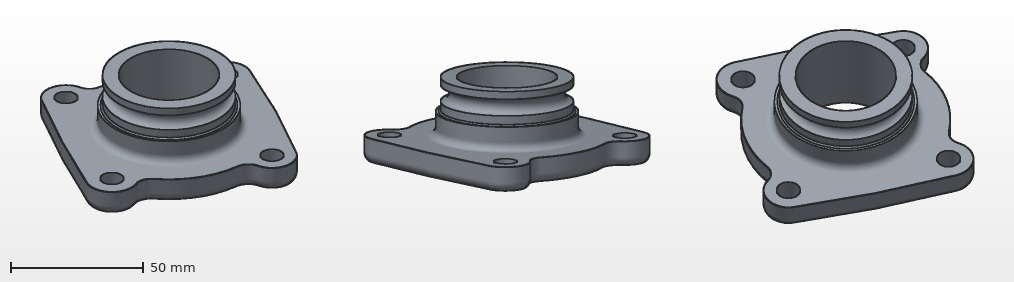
import cadquery as cq
import math

plate_thickness = 9.7
apex_reach = 42.1
side_radius = 39.6
waist_radius = 6.0
bolt_offset = 31.5
bolt_hole_diameter = 8.9
ear_radius = 9.5
large_ear_radius = 10.1
bottom_rounding = 4.0
bottom_rounding_height = 3.2
top_chamfer = 0.2

bore_radius = 19.0
neck_radius = 27.0
flange_radius = 25.2
shoulder_radius = 25.9
root_fillet = 3.2
shoulder_z = 18.9
flange_start_z = 19.5
groove_radius = 3.2
groove_z = 26.1
total_height = 32.3


def toward(start, target, distance):
    """Point reached by going a distance from start toward target."""
    span = math.dist(start, target)
    return tuple(a + (b - a) * distance / span for a, b in zip(start, target))


def polar(center, radius, angle):
    return (center[0] + radius * math.cos(angle), center[1] + radius * math.sin(angle))


def corner_points(radius):
    """Outline points of the +X, +Y corner, in order from the side bulge to the apex line."""
    ear = (bolt_offset, bolt_offset)
    ear_distance = math.hypot(*ear)
    reach = side_radius + waist_radius
    ear_reach = radius + waist_radius
    angle_from_diagonal = math.acos(
        (reach**2 + ear_distance**2 - ear_reach**2) / (2 * reach * ear_distance)
    )
    waist = polar((0, 0), reach, math.radians(45) - angle_from_diagonal)
    bulge_end = toward(waist, (0, 0), waist_radius)
    ear_start = toward(waist, ear, waist_radius)
    chord_middle = tuple((a + b) / 2 for a, b in zip(bulge_end, ear_start))
    waist_middle = toward(waist, chord_middle, waist_radius)
    apex = (0, apex_reach)
    direction_to_apex = math.atan2(apex[1] - ear[1], apex[0] - ear[0])
    ear_end_angle = direction_to_apex - math.acos(radius / math.dist(ear, apex))
    ear_end = polar(ear, radius, ear_end_angle)
    ear_start_angle = math.atan2(ear_start[1] - ear[1], ear_start[0] - ear[0])
    ear_middle = polar(ear, radius, (ear_start_angle + ear_end_angle) / 2)
    return [bulge_end, waist_middle, ear_start, ear_middle, ear_end]


def mirrored(points, x_sign, y_sign):
    return [(x_sign * x, y_sign * y) for x, y in points]


def make_plate():
    corner = corner_points(ear_radius)
    back_right = corner
    back_left = mirrored(corner, -1, 1)
    front_left = mirrored(corner, -1, -1)
    front_right = mirrored(corner_points(large_ear_radius), 1, -1)

    outline = cq.Workplane("XY").moveTo(*back_right[0])
    for rising, falling, y_sign in ((back_right, back_left, 1), (front_left, front_right, -1)):
        _, waist_middle, ear_start, ear_middle, ear_end = rising
        outline = outline.threePointArc(waist_middle, ear_start)
        outline = outline.threePointArc(ear_middle, ear_end)
        outline = outline.lineTo(0, y_sign * apex_reach)
        bulge_end, waist_middle, ear_start, ear_middle, ear_end = falling
        outline = outline.lineTo(*ear_end)
        outline = outline.threePointArc(ear_middle, ear_start)
        outline = outline.threePointArc(waist_middle, bulge_end)
        next_bulge_end = front_left[0] if y_sign > 0 else back_right[0]
        outline = outline.threePointArc((-y_sign * side_radius, 0), next_bulge_end)
    trim_depth = bottom_rounding - bottom_rounding_height
    plate = outline.close().extrude(plate_thickness + trim_depth).translate((0, 0, -trim_depth))
    plate = plate.faces("<Z").edges().fillet(bottom_rounding)
    plate = plate.faces(">Z").edges().chamfer(top_chamfer)
    trim_width = 3 * apex_reach
    trim = cq.Workplane("XY").rect(trim_width, trim_width).extrude(-trim_depth)
    return plate.cut(trim)


def make_spigot():
    """Revolved collar with a concave root, a stepped shoulder and a round groove."""
    root_top_z = plate_thickness + root_fillet
    root_middle = polar(
        (neck_radius + root_fillet, root_top_z), root_fillet, math.radians(225)
    )
    profile = (
        cq.Workplane("XZ")
        .lineTo(neck_radius, 0)
        .lineTo(neck_radius, plate_thickness)
        .lineTo(neck_radius + root_fillet, plate_thickness)
        .threePointArc(root_middle, (neck_radius, root_top_z))
        .lineTo(neck_radius, shoulder_z)
        .lineTo(shoulder_radius, shoulder_z)
        .lineTo(flange_radius, flange_start_z)
        .lineTo(flange_radius, groove_z - groove_radius)
        .threePointArc(
            (flange_radius - groove_radius, groove_z), (flange_radius, groove_z + groove_radius)
        )
        .lineTo(flange_radius, total_height)
        .lineTo(0, total_height)
        .close()
    )
    return profile.revolve(360, (0, 0, 0), (0, 1, 0))


def make_bolt_holes():
    spacing = 2 * bolt_offset
    return (
        cq.Workplane("XY")
        .rarray(spacing, spacing, 2, 2)
        .circle(bolt_hole_diameter / 2)
        .extrude(plate_thickness)
    )


bore = cq.Workplane("XY").circle(bore_radius).extrude(total_height)
result = make_plate().union(make_spigot()).cut(bore).cut(make_bolt_holes())